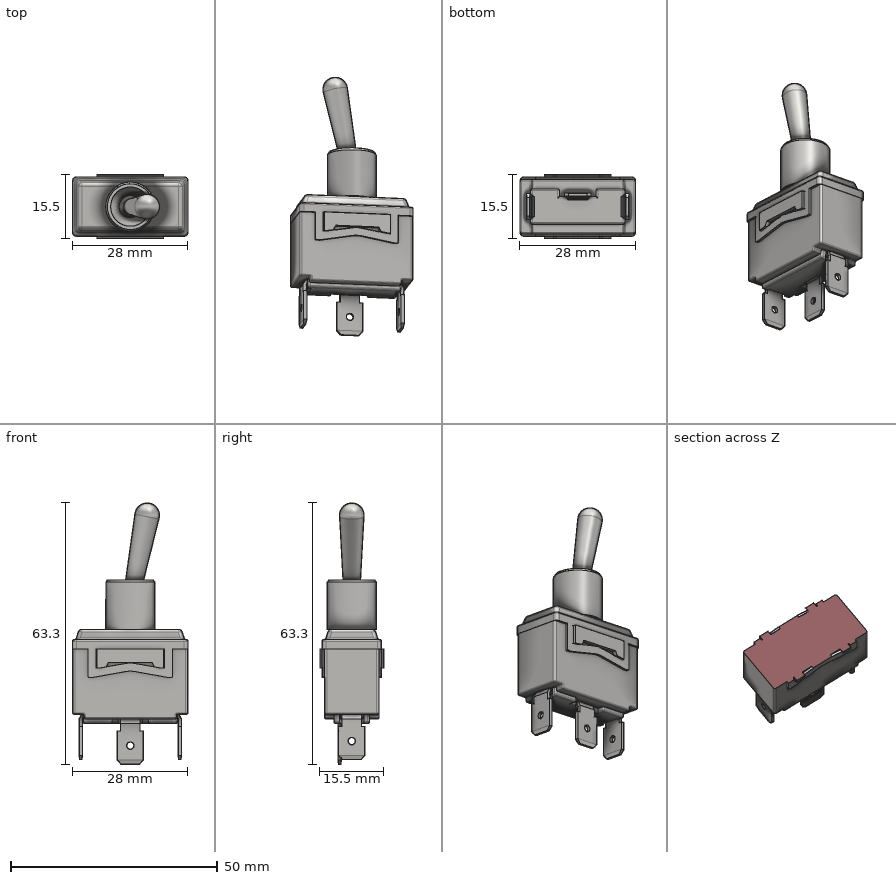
import cadquery as cq
import math


selection_margin = 0.1

cover_length = 28.0
cover_width = 14.4
cover_corner_radius = 1.0
cover_bottom_z = -4.75
shoulder_z = -2.5
shoulder_fillet = 0.42
crown_inset = 0.8
crown_taper_deg = 18.0
crown_fillet = 1.0
crown_root_fillet = 0.5

body_length = 27.9
body_width = 13.2
body_edge_radius = 0.55
body_end_z = -20.6
body_bottom_z = -21.7
body_bottom_length = 22.3
body_step_fillet = 0.4
body_bottom_fillet = 0.35

clip_length = 20.4
clip_bottom_z = -11.65
clip_foot_length = 1.2
clip_peak_z = -10.05
clip_corner_radius = 0.25
clip_peak_radius = 6.0
window_length = 16.6
window_bottom_z = -9.4
window_foot_length = 0.7
window_peak_z = -8.1
latch_length = 16.2
latch_span = 15.5
latch_notch_bottom_half = 6.0
latch_notch_top_half = 5.25
latch_notch_z = -8.0

platform_length = 22.8
platform_width = 8.6
platform_bottom_z = -22.85
platform_fillet = 0.45
recess_length = 8.9
slot_mouth_width = 5.9
slot_floor_width = 4.7
slot_depth = 0.9

blade_width = 6.35
blade_thickness = 0.85
blade_neck_width = 4.75
blade_shoulder_drop = 2.9
blade_hole_drop = 6.5
blade_hole_diameter = 1.7
blade_length = 11.01
blade_tip_height = 1.05
blade_tip_corner = 0.95
blade_tip_thickness = 0.6
blade_bend_drop = 1.15
blade_bend_offset = 0.6
blade_root_height = 0.8
side_blade_outer_x = 12.42
center_blade_outer_y = 3.35

bushing_diameter = 11.9
bushing_height = 12.0
bushing_chamfer_height = 0.6
bushing_chamfer_width = 0.4
funnel_mouth_diameter = 9.5

pivot_z = 6.6
pivot_ball_diameter = 5.4
lever_tilt_deg = 11.0
lever_root_radius = 1.87
knob_radius = 3.0
lever_top_z = 30.6


def box_between(length, width, bottom_z, top_z):
    """Box centred on the Z axis between two heights."""
    return (
        cq.Workplane("XY")
        .workplane(offset=bottom_z)
        .rect(length, width)
        .extrude(top_z - bottom_z)
    )


def make_cover():
    rim = box_between(cover_length, cover_width, cover_bottom_z, shoulder_z)
    rim = rim.edges("|Z").fillet(cover_corner_radius)
    crown = (
        cq.Workplane("XY")
        .workplane(offset=shoulder_z)
        .rect(cover_length - 2 * crown_inset, cover_width - 2 * crown_inset)
        .extrude(-shoulder_z, taper=crown_taper_deg)
    )
    crown = crown.edges("not <Z").fillet(crown_fillet)
    rim = rim.faces(">Z").edges().fillet(shoulder_fillet)
    inset = (shoulder_fillet + crown_inset) / 2
    reach_x = cover_length / 2 - inset
    reach_y = cover_width / 2 - inset
    crown_root = cq.selectors.BoxSelector(
        (-reach_x, -reach_y, shoulder_z - selection_margin),
        (reach_x, reach_y, shoulder_z + selection_margin),
    )
    return rim.union(crown).edges(crown_root).fillet(crown_root_fillet)


def make_body():
    half_length = body_length / 2
    half_bottom = body_bottom_length / 2
    body = (
        cq.Workplane("XZ")
        .moveTo(-half_length, cover_bottom_z)
        .lineTo(half_length, cover_bottom_z)
        .lineTo(half_length, body_end_z)
        .lineTo(half_bottom, body_end_z)
        .lineTo(half_bottom, body_bottom_z)
        .lineTo(-half_bottom, body_bottom_z)
        .lineTo(-half_bottom, body_end_z)
        .lineTo(-half_length, body_end_z)
        .close()
        .extrude(body_width / 2, both=True)
    )
    body = body.edges("|Z and (<X or >X)").fillet(body_edge_radius)
    for side in (-1, 1):
        corner = (side * half_bottom, 0, body_end_z)
        body = body.edges(cq.selectors.NearestToPointSelector(corner)).fillet(body_step_fillet)
    underside = cq.selectors.BoxSelector(
        (-half_length - selection_margin, -cover_width, body_bottom_z - selection_margin),
        (half_length + selection_margin, cover_width, body_end_z + selection_margin),
    )
    rims = body.edges(underside).edges("not |Y")
    rims = rims.add(body.faces("<Z or <X or >X").edges(underside).edges("|Y"))
    return rims.fillet(body_bottom_fillet)


def arched_plate(length, bottom_z, foot_length, peak_z, span):
    """Plate through the housing whose lower edge rises from two flat feet to a peak."""
    half = length / 2
    return (
        cq.Workplane("XZ")
        .moveTo(-half, cover_bottom_z)
        .lineTo(-half, bottom_z)
        .lineTo(foot_length - half, bottom_z)
        .lineTo(0, peak_z)
        .lineTo(half - foot_length, bottom_z)
        .lineTo(half, bottom_z)
        .lineTo(half, cover_bottom_z)
        .close()
        .extrude(span / 2, both=True)
    )


def make_clip():
    clip = arched_plate(clip_length, clip_bottom_z, clip_foot_length, clip_peak_z, cover_width)
    for side in (-1, 1):
        corner = (side * clip_length / 2, 0, clip_bottom_z)
        clip = clip.edges(cq.selectors.NearestToPointSelector(corner)).fillet(clip_corner_radius)
    peak = cq.selectors.NearestToPointSelector((0, 0, clip_peak_z))
    clip = clip.edges(peak).fillet(clip_peak_radius)
    window = arched_plate(window_length, window_bottom_z, window_foot_length, window_peak_z, cover_width)
    return clip.cut(window)


def make_latch():
    latch = arched_plate(latch_length, window_bottom_z, window_foot_length, window_peak_z, latch_span)
    notch = (
        cq.Workplane("XZ")
        .moveTo(-latch_notch_bottom_half, window_bottom_z)
        .lineTo(latch_notch_bottom_half, window_bottom_z)
        .lineTo(latch_notch_top_half, latch_notch_z)
        .lineTo(-latch_notch_top_half, latch_notch_z)
        .close()
        .extrude(latch_span / 2, both=True)
    )
    return latch.cut(notch)


def blade_slot(outer):
    """Flared slot opening toward -Y at y = -outer, clear through the platform height."""
    return (
        cq.Workplane("XY")
        .workplane(offset=platform_bottom_z)
        .moveTo(-slot_mouth_width / 2, -outer)
        .lineTo(slot_mouth_width / 2, -outer)
        .lineTo(slot_floor_width / 2, slot_depth - outer)
        .lineTo(-slot_floor_width / 2, slot_depth - outer)
        .close()
        .extrude(body_end_z - platform_bottom_z)
    )


def make_platform():
    platform = box_between(platform_length, platform_width, platform_bottom_z, body_end_z)
    recess_floor = center_blade_outer_y - blade_thickness
    recess_depth = platform_width / 2 - recess_floor
    recess = box_between(recess_length, recess_depth, platform_bottom_z, body_end_z)
    recess = recess.translate((0, -recess_floor - recess_depth / 2, 0))
    platform = platform.cut(recess)
    outer_edges = "(<X or >X or <Y or >Y) and |Z"
    platform = platform.edges(outer_edges).fillet(platform_fillet)
    platform = platform.faces("<Z").edges().fillet(platform_fillet)
    platform = platform.cut(blade_slot(recess_floor))
    for angle in (-90, 90):
        slot = blade_slot(platform_length / 2).rotate((0, 0, 0), (0, 0, 1), angle)
        platform = platform.cut(slot)
    return platform


def make_blade(outer, seat_z):
    """Blade facing -Y with its outer face at y = -outer, hanging from seat_z."""
    inner = blade_thickness - outer
    middle = (inner - outer) / 2
    bottom_z = seat_z - blade_length
    tip_z = bottom_z + blade_tip_height
    bend_z = seat_z - blade_bend_drop
    side_profile = (
        cq.Workplane("YZ")
        .moveTo(-outer, bend_z)
        .lineTo(-outer, tip_z)
        .lineTo(middle - blade_tip_thickness / 2, bottom_z)
        .lineTo(middle + blade_tip_thickness / 2, bottom_z)
        .lineTo(inner, tip_z)
        .lineTo(inner, bend_z)
        .lineTo(inner + blade_bend_offset, seat_z)
        .lineTo(inner + blade_bend_offset, seat_z + blade_root_height)
        .lineTo(blade_bend_offset - outer, seat_z + blade_root_height)
        .lineTo(blade_bend_offset - outer, seat_z)
        .close()
        .extrude(blade_width / 2, both=True)
    )
    half_neck = blade_neck_width / 2
    half_width = blade_width / 2
    neck_end_z = seat_z - blade_shoulder_drop
    face_outline = (
        cq.Workplane("XZ")
        .moveTo(-half_neck, seat_z + blade_root_height)
        .lineTo(-half_neck, neck_end_z)
        .lineTo(-half_width, neck_end_z)
        .lineTo(-half_width, tip_z)
        .lineTo(blade_tip_corner - half_width, bottom_z)
        .lineTo(half_width - blade_tip_corner, bottom_z)
        .lineTo(half_width, tip_z)
        .lineTo(half_width, neck_end_z)
        .lineTo(half_neck, neck_end_z)
        .lineTo(half_neck, seat_z + blade_root_height)
        .close()
        .extrude(2 * outer)
    )
    hole = (
        cq.Workplane("XZ")
        .center(0, seat_z - blade_hole_drop)
        .circle(blade_hole_diameter / 2)
        .extrude(2 * outer)
    )
    return side_profile.intersect(face_outline).cut(hole)


def make_bushing():
    """Collar with a funnel narrowing to the lever's pivot ball."""
    radius = bushing_diameter / 2
    return (
        cq.Workplane("XZ")
        .lineTo(radius, 0)
        .lineTo(radius, bushing_height - bushing_chamfer_height)
        .lineTo(radius - bushing_chamfer_width, bushing_height)
        .lineTo(funnel_mouth_diameter / 2, bushing_height)
        .lineTo(pivot_ball_diameter / 2, pivot_z)
        .lineTo(0, pivot_z)
        .close()
        .revolve(360, (0, 0, 0), (0, 1, 0))
    )


def make_lever():
    """Tapered lever tilted toward +X, with a round knob and a pivot ball."""
    rise = lever_top_z - knob_radius - pivot_z
    tilt = math.radians(lever_tilt_deg)
    shaft = (
        cq.Workplane("XZ")
        .lineTo(lever_root_radius, 0)
        .lineTo(knob_radius, rise / math.cos(tilt))
        .lineTo(0, rise / math.cos(tilt))
        .close()
        .revolve(360, (0, 0, 0), (0, 1, 0))
        .rotate((0, 0, 0), (0, 1, 0), lever_tilt_deg)
    )
    ball = cq.Workplane("XY").sphere(pivot_ball_diameter / 2)
    knob = cq.Workplane("XY").sphere(knob_radius).translate((rise * math.tan(tilt), 0, rise))
    return shaft.union(ball).union(knob).translate((0, 0, pivot_z))


result = make_cover().union(make_body()).union(make_clip()).union(make_latch()).union(make_platform())
result = result.union(make_blade(center_blade_outer_y, body_bottom_z))
for turn in (-90, 90):
    side_blade = make_blade(side_blade_outer_x, body_end_z)
    result = result.union(side_blade.rotate((0, 0, 0), (0, 0, 1), turn))
result = result.union(make_bushing()).union(make_lever())